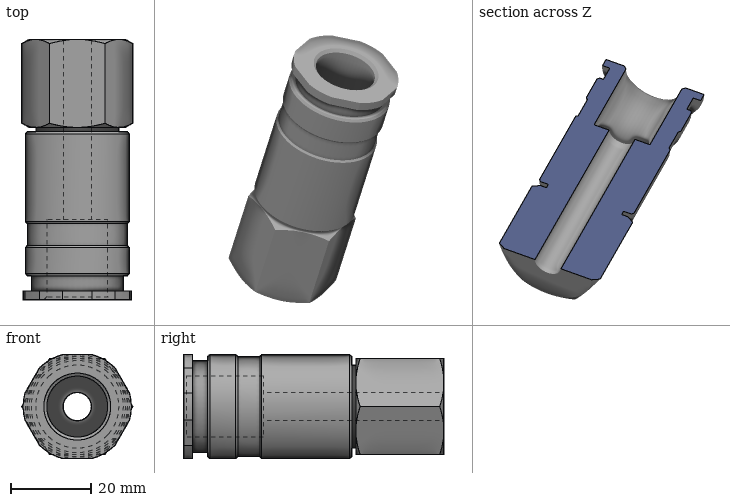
import cadquery as cq
import math


FLANGE_END = 2.25
COLLAR_START = 6.0
COLLAR_END = 13.6
SLEEVE_START = 19.1
SLEEVE_END = 42.0
HEX_START = 43.0
TOTAL_LENGTH = 65.0

SLEEVE_DIAMETER = 26.0
FLANGE_DIAMETER = 27.0
FLANGE_ACROSS_FLATS = SLEEVE_DIAMETER
FRONT_NECK_DIAMETER = 23.0
GRIP_GROOVE_DIAMETER = 25.0
REAR_NECK_DIAMETER = 20.75
HEX_ACROSS_FLATS = 24.0
HEX_CHAMFER_ANGLE = 30.0

EDGE_CHAMFER_LENGTH = 0.6
EDGE_CHAMFER_DEPTH = 0.5
SLEEVE_FRONT_CHAMFER = 0.4

SOCKET_DIAMETER = 15.2
SOCKET_MOUTH_DIAMETER = 16.7
SOCKET_MOUTH_DEPTH = 0.75
SOCKET_DEPTH = 20.0
BORE_DIAMETER = 7.0


def cylinder(diameter, start, end):
    """Solid cylinder on the Y axis between two stations."""
    plane = cq.Plane(origin=(0, start, 0), xDir=(1, 0, 0), normal=(0, 1, 0))
    return cq.Workplane(plane).circle(diameter / 2).extrude(end - start)


def hexagon(across_flats, start, end):
    """Hexagonal prism on the Y axis, with flats facing +Z and -Z."""
    across_corners = across_flats / math.cos(math.radians(30))
    plane = cq.Plane(origin=(0, start, 0), xDir=(1, 0, 0), normal=(0, 1, 0))
    return cq.Workplane(plane).polygon(6, across_corners).extrude(end - start)


def revolve_profile(points):
    """Solid of revolution about the Y axis from (radius, station) points."""
    return cq.Workplane("XY").polyline(points).close().revolve(360, (0, 0), (0, 1))


def chamfered_ring(diameter, start, end, start_chamfer, end_chamfer):
    """Cylinder with a conical chamfer, given as (length, radial depth), at each end."""
    radius = diameter / 2
    start_length, start_depth = start_chamfer
    end_length, end_depth = end_chamfer
    return revolve_profile([
        (0, start),
        (radius - start_depth, start),
        (radius, start + start_length),
        (radius, end - end_length),
        (radius - end_depth, end),
        (0, end),
    ])


def wrench_hexagon():
    """Rear hexagon with its corners turned down conically at both ends."""
    corner_depth = HEX_ACROSS_FLATS / 2 * (1 / math.cos(math.radians(30)) - 1)
    chamfer_length = corner_depth * math.tan(math.radians(HEX_CHAMFER_ANGLE))
    corner_chamfer = (chamfer_length, corner_depth)
    envelope = chamfered_ring(
        HEX_ACROSS_FLATS + 2 * corner_depth,
        HEX_START,
        TOTAL_LENGTH,
        corner_chamfer,
        corner_chamfer,
    )
    return hexagon(HEX_ACROSS_FLATS, HEX_START, TOTAL_LENGTH).intersect(envelope)


def front_flange():
    """Round release flange with six flats."""
    disc = cylinder(FLANGE_DIAMETER, 0, FLANGE_END)
    return disc.intersect(hexagon(FLANGE_ACROSS_FLATS, 0, FLANGE_END))


def outer_body():
    """All outside shapes joined along the axis."""
    edge_chamfer = (EDGE_CHAMFER_LENGTH, EDGE_CHAMFER_DEPTH)
    collar = chamfered_ring(
        SLEEVE_DIAMETER,
        COLLAR_START,
        COLLAR_END,
        edge_chamfer,
        edge_chamfer,
    )
    sleeve = chamfered_ring(
        SLEEVE_DIAMETER,
        SLEEVE_START,
        SLEEVE_END,
        (SLEEVE_FRONT_CHAMFER, SLEEVE_FRONT_CHAMFER),
        edge_chamfer,
    )
    return (
        front_flange()
        .union(cylinder(FRONT_NECK_DIAMETER, FLANGE_END, COLLAR_START))
        .union(collar)
        .union(cylinder(GRIP_GROOVE_DIAMETER, COLLAR_END, SLEEVE_START))
        .union(sleeve)
        .union(cylinder(REAR_NECK_DIAMETER, SLEEVE_END, HEX_START))
        .union(wrench_hexagon())
    )


def plug_cavity():
    """Stepped cavity: tapered mouth, plug socket and through bore."""
    return revolve_profile([
        (0, 0),
        (SOCKET_MOUTH_DIAMETER / 2, 0),
        (SOCKET_DIAMETER / 2, SOCKET_MOUTH_DEPTH),
        (SOCKET_DIAMETER / 2, SOCKET_DEPTH),
        (BORE_DIAMETER / 2, SOCKET_DEPTH),
        (BORE_DIAMETER / 2, TOTAL_LENGTH),
        (0, TOTAL_LENGTH),
    ])


result = outer_body().cut(plug_cavity())